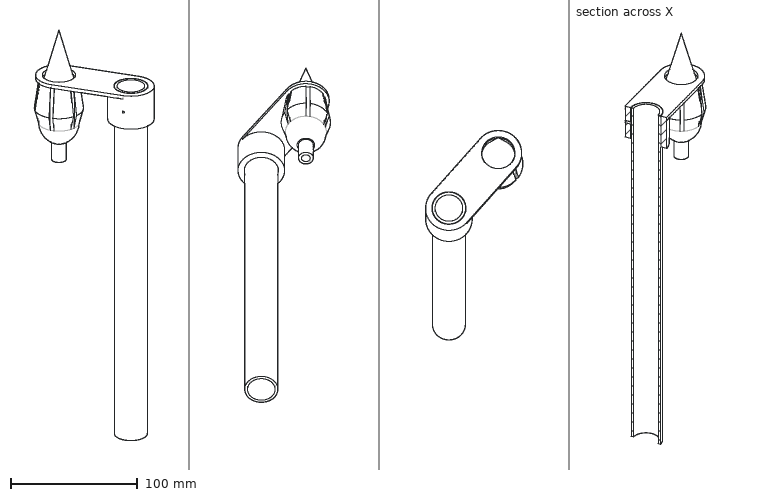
import cadquery as cq

total_height = 345.2
arm_spacing = 60.0
arm_radius = 37.0 / 2
arm_top = 305.5
arm_thickness = 3.0
arm_bottom = arm_top - arm_thickness
flame_hole_diameter = 26.2
tube_hole_diameter = 27.0
socket_height = 29.0
socket_bottom = arm_top - socket_height
screw_hole_diameter = 1.6

tube_outer_diameter = 26.2
tube_inner_diameter = 21.7

core_top_radius = 15.2
core_belly_radius = 17.3
core_belly_z = 283.0
core_end_radius = 16.2
panel_top_radius = 16.0
panel_peak_radius = 19.5
panel_peak_z = socket_bottom
panel_end_z = 264.0
dome_mid_radius = 13.5
dome_mid_z = 254.5
dome_bottom_z = 248.0
dome_bottom_radius = 7.0
groove_count = 6
groove_width = 3.0
groove_first_angle = 30.0

flame_base_radius = flame_hole_diameter / 2
flame_radius_at_arm = 21.7 / 2
flame_slope = flame_radius_at_arm / (total_height - arm_top)
flame_base_z = total_height - flame_base_radius / flame_slope

pin_radius = 11.7 / 2
pin_bottom_z = 231.3
tip_radius = 3.5
tip_z = 228.5


def make_arm():
    arm = (
        cq.Workplane("XY", origin=(0, 0, arm_bottom))
        .moveTo(arm_spacing, arm_radius)
        .lineTo(0, arm_radius)
        .threePointArc((-arm_radius, 0), (0, -arm_radius))
        .lineTo(arm_spacing, -arm_radius)
        .close()
        .extrude(arm_thickness)
    )
    socket = (
        cq.Workplane("XY", origin=(arm_spacing, 0, socket_bottom))
        .circle(arm_radius)
        .extrude(socket_height)
    )
    flame_hole = (
        cq.Workplane("XY", origin=(0, 0, arm_bottom))
        .circle(flame_hole_diameter / 2)
        .extrude(arm_thickness)
    )
    tube_hole = (
        cq.Workplane("XY", origin=(arm_spacing, 0, socket_bottom))
        .circle(tube_hole_diameter / 2)
        .extrude(socket_height)
    )
    screw_hole = (
        cq.Workplane("XZ", origin=(arm_spacing, 0, arm_top - socket_height / 2))
        .circle(screw_hole_diameter / 2)
        .extrude(arm_radius)
    )
    return arm.union(socket).cut(flame_hole).cut(tube_hole).cut(screw_hole)


def make_tube():
    return (
        cq.Workplane("XY")
        .center(arm_spacing, 0)
        .circle(tube_outer_diameter / 2)
        .circle(tube_inner_diameter / 2)
        .extrude(arm_top)
    )


def revolve_about_z(profile):
    return profile.close().revolve(360, (0, 0, 0), (0, 1, 0))


def make_core():
    profile = (
        cq.Workplane("XZ")
        .moveTo(0, arm_bottom)
        .lineTo(core_top_radius, arm_bottom)
        .threePointArc((core_belly_radius, core_belly_z), (core_end_radius, panel_end_z))
        .threePointArc((dome_mid_radius, dome_mid_z), (dome_bottom_radius, dome_bottom_z))
        .lineTo(0, dome_bottom_z)
    )
    return revolve_about_z(profile)


def make_panels():
    profile = (
        cq.Workplane("XZ")
        .moveTo(0, arm_bottom)
        .lineTo(panel_top_radius, arm_bottom)
        .lineTo(panel_peak_radius, panel_peak_z)
        .lineTo(core_end_radius, panel_end_z)
        .lineTo(0, panel_end_z)
    )
    panels = revolve_about_z(profile)
    groove_height = arm_bottom - panel_end_z
    groove_reach = 2 * panel_peak_radius
    for index in range(groove_count):
        angle = groove_first_angle + index * 360 / groove_count
        groove = (
            cq.Workplane("XY", origin=(0, 0, panel_end_z))
            .rect(groove_reach, groove_width)
            .extrude(groove_height)
            .translate((groove_reach / 2, 0, 0))
            .rotate((0, 0, 0), (0, 0, 1), angle)
        )
        panels = panels.cut(groove)
    return panels


def make_flame():
    profile = (
        cq.Workplane("XZ")
        .moveTo(0, flame_base_z)
        .lineTo(flame_base_radius, flame_base_z)
        .lineTo(0, total_height)
    )
    return revolve_about_z(profile)


def make_pin():
    profile = (
        cq.Workplane("XZ")
        .moveTo(0, dome_bottom_z)
        .lineTo(pin_radius, dome_bottom_z)
        .lineTo(pin_radius, pin_bottom_z)
        .lineTo(tip_radius, pin_bottom_z)
        .lineTo(0, tip_z)
    )
    return revolve_about_z(profile)


def make_torch():
    recess = (
        cq.Workplane("XY", origin=(0, 0, flame_base_z))
        .circle(flame_base_radius)
        .extrude(arm_bottom - flame_base_z)
    )
    bulb = make_core().union(make_panels()).cut(recess)
    return bulb.union(make_flame()).union(make_pin())


arm = make_arm()
tube = make_tube()
torch = make_torch()

result = cq.Compound.makeCompound([arm.solids().val(), tube.val(), torch.solids().val()])